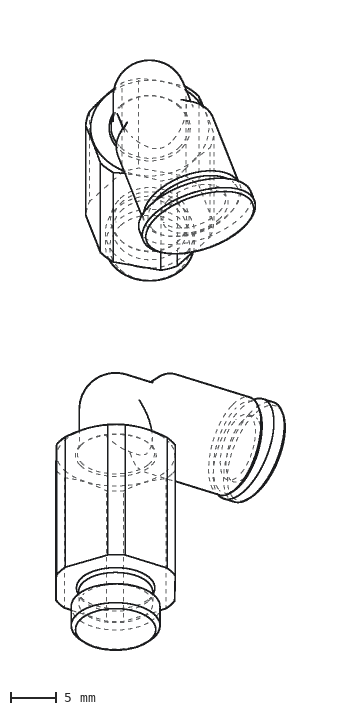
import cadquery as cq
import math


total_height = 33.8
sleeve_radius = 5.6
socket_axis_z = total_height - sleeve_radius

thread_radius = 4.87
thread_chamfer = 0.47
thread_top_z = 2.9
neck_radius = 4.05
neck_bottom_z = 3.35
neck_flare = 0.25
neck_flare_height = 0.47

hex_sides = 6
hex_across_flats = 13.0
hex_corner_radius = 7.03
hex_bottom_z = 5.3
hex_height = 17.0
hex_top_z = hex_bottom_z + hex_height
hex_face_radius = 6.45
hex_chamfer_height = 0.3

elbow_radius = 4.0
elbow_flare_top_z = 23.73
elbow_foot_radius = 4.22
elbow_foot_bevel = 0.2

sleeve_start_x = 5.68
sleeve_end_x = 15.55
sleeve_chamfer = 0.37
shoulder_fillet = 0.98
shoulder_angle = math.radians(44)

collar_neck_radius = 3.75
collar_start_x = 16.3
collar_end_x = 17.9
collar_half_width = hex_across_flats / 2
collar_half_height = 5.5
collar_chamfer = 0.3


def make_spigot():
    """Thread and undercut neck, turned about Z."""
    return (
        cq.Workplane("XZ")
        .lineTo(thread_radius - thread_chamfer, 0)
        .lineTo(thread_radius, thread_chamfer)
        .lineTo(thread_radius, thread_top_z)
        .lineTo(neck_radius, neck_bottom_z)
        .lineTo(neck_radius, hex_bottom_z - neck_flare_height)
        .lineTo(neck_radius + neck_flare, hex_bottom_z)
        .lineTo(0, hex_bottom_z)
        .close()
        .revolve(360, (0, 0, 0), (0, 1, 0))
    )


def make_hexagon():
    """Hexagon with corners on the X axis, trimmed by a turned blank with a bevelled top rim."""
    prism = (
        cq.Workplane("XY")
        .workplane(offset=hex_bottom_z)
        .polygon(hex_sides, hex_across_flats / math.cos(math.pi / hex_sides))
        .extrude(hex_height)
    )
    blank = (
        cq.Workplane("XZ")
        .moveTo(0, hex_bottom_z)
        .lineTo(hex_corner_radius, hex_bottom_z)
        .lineTo(hex_corner_radius, hex_top_z - hex_chamfer_height)
        .lineTo(hex_face_radius, hex_top_z)
        .lineTo(0, hex_top_z)
        .close()
        .revolve(360, (0, 0, 0), (0, 1, 0))
    )
    return prism.intersect(blank)


def make_elbow_stem():
    """Vertical leg of the elbow: flared foot, round stem and domed top."""
    dome_reach = elbow_radius * math.sqrt(0.5)
    return (
        cq.Workplane("XZ")
        .moveTo(0, hex_top_z)
        .lineTo(elbow_foot_radius + elbow_foot_bevel, hex_top_z)
        .lineTo(elbow_foot_radius, hex_top_z + elbow_foot_bevel)
        .lineTo(elbow_radius, elbow_flare_top_z)
        .lineTo(elbow_radius, socket_axis_z)
        .threePointArc(
            (dome_reach, socket_axis_z + dome_reach),
            (0, socket_axis_z + elbow_radius),
        )
        .close()
        .revolve(360, (0, 0, 0), (0, 1, 0))
    )


def make_socket():
    """Horizontal leg, rounded conical shoulder, sleeve and collar neck, turned about X."""
    fillet_run = shoulder_fillet * math.sin(shoulder_angle)
    fillet_rise = shoulder_fillet * (1 - math.cos(shoulder_angle))
    cone_rise = sleeve_radius - elbow_radius - 2 * fillet_rise
    cone_end_x = sleeve_start_x - fillet_run
    cone_start_x = cone_end_x - cone_rise / math.tan(shoulder_angle)
    leg_end_x = cone_start_x - fillet_run

    return (
        cq.Workplane("XY")
        .lineTo(0, elbow_radius)
        .lineTo(leg_end_x, elbow_radius)
        .radiusArc((cone_start_x, elbow_radius + fillet_rise), -shoulder_fillet)
        .lineTo(cone_end_x, sleeve_radius - fillet_rise)
        .radiusArc((sleeve_start_x, sleeve_radius), shoulder_fillet)
        .lineTo(sleeve_end_x - sleeve_chamfer, sleeve_radius)
        .lineTo(sleeve_end_x, sleeve_radius - sleeve_chamfer)
        .lineTo(sleeve_end_x, collar_neck_radius)
        .lineTo(collar_start_x, collar_neck_radius)
        .lineTo(collar_start_x, 0)
        .close()
        .revolve(360, (0, 0, 0), (1, 0, 0))
        .translate((0, 0, socket_axis_z))
    )


def make_collar():
    """Oval release collar, wider across Y than along Z, bevelled at the open end."""
    return (
        cq.Workplane("YZ", origin=(collar_start_x, 0, socket_axis_z))
        .ellipse(collar_half_width, collar_half_height)
        .extrude(collar_end_x - collar_start_x)
        .faces(">X")
        .edges()
        .chamfer(collar_chamfer)
    )


result = (
    make_spigot()
    .union(make_hexagon())
    .union(make_elbow_stem())
    .union(make_socket())
    .union(make_collar())
)